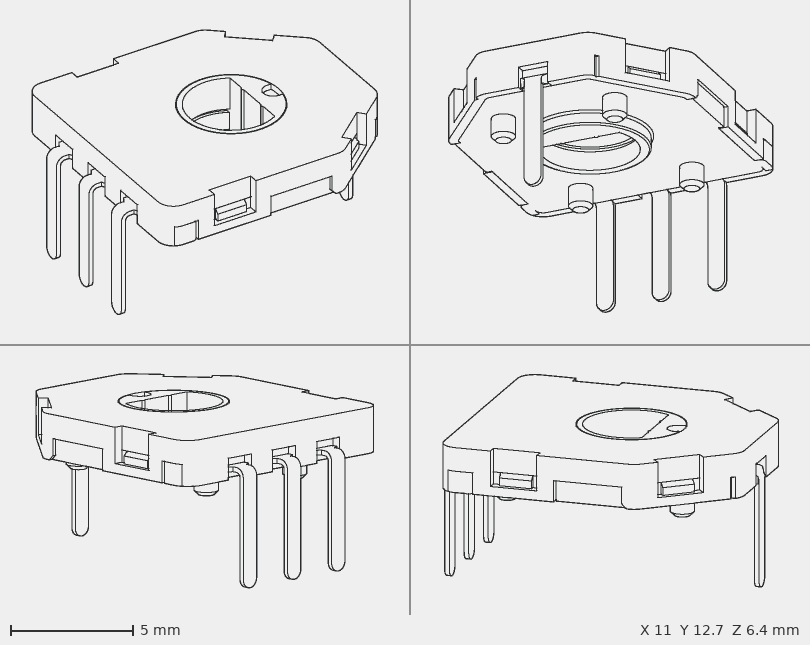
import cadquery as cq
import math

body_width = 11.0
body_front = -6.49
body_rear = 5.58
body_height = 1.92
corner_radius = 0.75
half_width = body_width / 2

slant_angle = 50.0
slant_mid_x = -4.2
slant_mid_y = 3.52

wall = 0.41
base_height = 0.91

window_width = 2.0
window_floor = 0.41
side_window_y = -3.24
hook_width = 1.38
hook_reach = 0.18

side_tab_rear = 1.41
side_tab_front = -1.46
side_notch_front = -1.52
side_tab_inset = 0.15
side_tab_chamfer = 0.2
corner_tab_rear = -5.0
corner_tab_front = -6.1
tab_end_radius = 0.27

rear_relief_x = 2.65
rear_relief_y = 5.2

post_diameter = 1.0
post_length = 0.97
post_chamfer = 0.18
post_x = 2.5
post_rear_y = 3.02
post_front_y = -4.51

shaft_hole_diameter = 4.55
rotor_diameter = 4.48
collar_diameter = 5.2
flange_diameter = 5.0
flange_bottom = -0.6
flange_chamfer = 0.08
upper_bore_diameter = 4.0
lower_bore_diameter = 4.1
groove_diameter = 4.4
groove_bottom = 0.23
groove_top = 0.42
bore_flat_y = 1.02
rib_radius = 0.1
rib_reach = 0.05
rib_x = 0.75
dimple_width = 0.9
dimple_center_y = 2.01
dimple_depth = 0.25

terminal_pitch = 2.5
terminal_width = 0.76
terminal_thickness = 0.2
terminal_bend = 0.41
terminal_top = 0.52
terminal_tip = -4.48
terminal_front = -7.09
terminal_rear = 5.61
shoulder_width = 1.25
shoulder_taper = 0.13
shoulder_start = 0.01
terminal_depth = 1.02
terminal_notch_width = 1.3


def box(x_range, y_range, z_range):
    """Box between the given limits along each axis."""
    size = [high - low for low, high in (x_range, y_range, z_range)]
    return cq.Workplane("XY").box(*size, centered=False).translate((x_range[0], y_range[0], z_range[0]))


def cylinder(diameter, bottom, top):
    """Cylinder on the rotor axis."""
    return cq.Workplane("XY").workplane(offset=bottom).circle(diameter / 2).extrude(top - bottom)


def both_sides(shape):
    """The shape together with its mirror image across X = 0."""
    return shape.union(shape.mirror("YZ"))


def body_block(height):
    """Block with the outer outline of the body: slanted rear sides and rounded corners."""
    slope = math.tan(math.radians(slant_angle))
    rear_x = slant_mid_x + (body_rear - slant_mid_y) / slope
    side_y = slant_mid_y + (-half_width - slant_mid_x) * slope
    outline = [
        (-half_width, body_front),
        (half_width, body_front),
        (half_width, side_y),
        (-rear_x, body_rear),
        (rear_x, body_rear),
        (-half_width, side_y),
    ]
    return cq.Workplane("XY").polyline(outline).close().extrude(height).edges("|Z").fillet(corner_radius)


def base_block():
    """Inner block of the base, one skirt thickness inside the outer outline."""
    outer_wire = body_block(base_height).faces("<Z").wires().val()
    return cq.Workplane("XY").add(outer_wire).toPending().offset2D(-wall).extrude(base_height)


def place_on_walls(feature):
    """Copies of a feature, made on a wall at X = 0 facing -X, on both sides and both slanted sides."""
    on_side = feature.translate((-half_width, side_window_y, 0))
    on_slant = feature.rotate((0, 0, 0), (0, 0, 1), slant_angle - 90)
    on_slant = on_slant.translate((slant_mid_x, slant_mid_y, 0))
    return both_sides(on_side.union(on_slant))


def side_notch(front, inset):
    """Middle side opening of the skirt on the left, with a lead-in chamfer at its rear lower corner."""
    profile = [
        (front, 0),
        (side_tab_rear + side_tab_chamfer, 0),
        (side_tab_rear, side_tab_chamfer),
        (side_tab_rear, base_height),
        (front, base_height),
    ]
    notch = cq.Workplane("YZ").polyline(profile).close().extrude(wall - inset)
    return notch.translate((inset - half_width, 0, 0))


def corner_notch():
    """Opening of the skirt at the left front corner."""
    return box((-half_width, wall - half_width), (corner_tab_front, corner_tab_rear), (0, base_height))


def corner_tab():
    """Tab in the corner opening, flush with the skirt, with its outer rear edge rounded."""
    tab = corner_notch().edges("|Z and <X and >Y").fillet(tab_end_radius)
    return tab.intersect(body_block(base_height))


def terminal(mid_x, tip_y, wall_y):
    """Bent terminal: shoulders in the base, a bend outside the wall and a leg with a round tip."""
    outward = math.copysign(1, tip_y)
    end_y = wall_y - outward * terminal_depth
    bend_y = tip_y - outward * terminal_bend
    inner_bend = terminal_bend - terminal_thickness
    bend_z = terminal_top - terminal_bend
    diagonal = math.sqrt(0.5)
    side = (
        cq.Workplane("YZ")
        .moveTo(end_y, terminal_top)
        .lineTo(bend_y, terminal_top)
        .threePointArc(
            (bend_y + outward * terminal_bend * diagonal, bend_z + terminal_bend * diagonal),
            (tip_y, bend_z),
        )
        .lineTo(tip_y, terminal_tip)
        .lineTo(tip_y - outward * terminal_thickness, terminal_tip)
        .lineTo(tip_y - outward * terminal_thickness, bend_z)
        .threePointArc(
            (bend_y + outward * inner_bend * diagonal, bend_z + inner_bend * diagonal),
            (bend_y, bend_z + inner_bend),
        )
        .lineTo(end_y, terminal_top - terminal_thickness)
        .close()
        .extrude(shoulder_width / 2, both=True)
    )

    half_leg = terminal_width / 2
    half_shoulder = shoulder_width / 2
    taper_y = wall_y - outward * shoulder_start
    shoulder_y = taper_y - outward * shoulder_taper
    plan_points = [
        (-half_leg, tip_y),
        (half_leg, tip_y),
        (half_leg, taper_y),
        (half_shoulder, shoulder_y),
        (half_shoulder, end_y),
        (-half_shoulder, end_y),
        (-half_shoulder, shoulder_y),
        (-half_leg, taper_y),
    ]
    plan = (
        cq.Workplane("XY").workplane(offset=terminal_tip)
        .polyline(plan_points).close().extrude(terminal_top - terminal_tip)
    )

    tip_z = terminal_tip + half_leg
    tip_round = (
        cq.Workplane("XZ")
        .moveTo(-half_shoulder, terminal_top)
        .lineTo(-half_shoulder, 0)
        .lineTo(-half_leg, 0)
        .lineTo(-half_leg, tip_z)
        .threePointArc((0, terminal_tip), (half_leg, tip_z))
        .lineTo(half_leg, 0)
        .lineTo(half_shoulder, 0)
        .lineTo(half_shoulder, terminal_top)
        .close()
        .extrude(body_width, both=True)
    )
    return side.intersect(plan).intersect(tip_round).translate((mid_x, 0, 0))


terminal_places = [
    (-terminal_pitch, terminal_front, body_front),
    (0, terminal_front, body_front),
    (terminal_pitch, terminal_front, body_front),
    (0, terminal_rear, body_rear),
]
terminals = [terminal(*place) for place in terminal_places]


def make_cover():
    cover = body_block(body_height).cut(base_block())
    cover = cover.cut(cylinder(shaft_hole_diameter, 0, body_height))

    half_window = window_width / 2
    window = box((0, wall), (-half_window, half_window), (window_floor, body_height))
    cover = cover.cut(place_on_walls(window))

    cover = cover.cut(both_sides(side_notch(side_notch_front, 0)))
    cover = cover.cut(both_sides(corner_notch()))
    rear_relief = box((-half_width, -rear_relief_x), (rear_relief_y, body_rear), (0, base_height))
    cover = cover.cut(both_sides(rear_relief))

    half_notch = terminal_notch_width / 2
    for mid_x, _, wall_y in terminal_places:
        y_range = sorted((wall_y, wall_y - math.copysign(wall, wall_y)))
        cover = cover.cut(box((mid_x - half_notch, mid_x + half_notch), y_range, (0, base_height)))
    return cover


def make_hook():
    """Snap hook on a wall at X = 0, sloped on top, that starts at the back of the window."""
    profile = [
        (wall, window_floor),
        (wall - hook_reach, window_floor),
        (wall - hook_reach, base_height - hook_reach),
        (wall, base_height),
    ]
    return cq.Workplane("XZ").polyline(profile).close().extrude(hook_width / 2, both=True)


def make_base():
    base = base_block()
    base = base.union(place_on_walls(make_hook()))
    base = base.union(both_sides(side_notch(side_tab_front, side_tab_inset)))
    base = base.union(both_sides(corner_tab()))

    post = cq.Workplane("XY").circle(post_diameter / 2).extrude(-post_length)
    post = post.faces("<Z").chamfer(post_chamfer)
    for post_y in (post_rear_y, post_front_y):
        base = base.union(both_sides(post.translate((post_x, post_y, 0))))

    base = base.cut(cylinder(shaft_hole_diameter, 0, base_height))
    for pin in terminals:
        base = base.cut(pin)
    return base


def d_bore(diameter, bottom, top):
    """Round bore closed off by a flat on its rear side."""
    radius = diameter / 2
    open_side = box((-radius, radius), (-radius, bore_flat_y), (bottom, top))
    return cylinder(diameter, bottom, top).intersect(open_side)


def make_rotor():
    collar_height = (collar_diameter - flange_diameter) / 2
    collar = cq.Workplane(cq.Solid.makeCone(flange_diameter / 2, collar_diameter / 2, collar_height))
    collar = collar.translate((0, 0, -collar_height))
    flange = cylinder(flange_diameter, flange_bottom, -collar_height).faces("<Z").chamfer(flange_chamfer)
    rotor = cylinder(rotor_diameter, -collar_height, body_height).union(collar).union(flange)

    rotor = rotor.cut(d_bore(upper_bore_diameter, groove_bottom, body_height))
    rotor = rotor.cut(d_bore(groove_diameter, groove_bottom, groove_top))
    rotor = rotor.cut(d_bore(lower_bore_diameter, flange_bottom, groove_bottom))

    rib_y = bore_flat_y + rib_radius - rib_reach
    rib = (
        cq.Workplane("XY").workplane(offset=flange_bottom)
        .center(rib_x, rib_y).circle(rib_radius).extrude(body_height - flange_bottom)
    )
    rotor = rotor.union(both_sides(rib))

    half_dimple = dimple_width / 2
    dimple_floor = body_height - dimple_depth
    dimple = (
        cq.Workplane("XY").workplane(offset=dimple_floor)
        .center(0, dimple_center_y).circle(half_dimple).extrude(dimple_depth)
    )
    dimple_end = box(
        (-half_dimple, half_dimple), (dimple_center_y, rotor_diameter / 2), (dimple_floor, body_height)
    )
    return rotor.cut(dimple).cut(dimple_end)


cover = make_cover()
base = make_base()
rotor = make_rotor()

result = cq.Compound.makeCompound([
    cover.val(),
    base.val(),
    rotor.val(),
    *[pin.val() for pin in terminals],
])